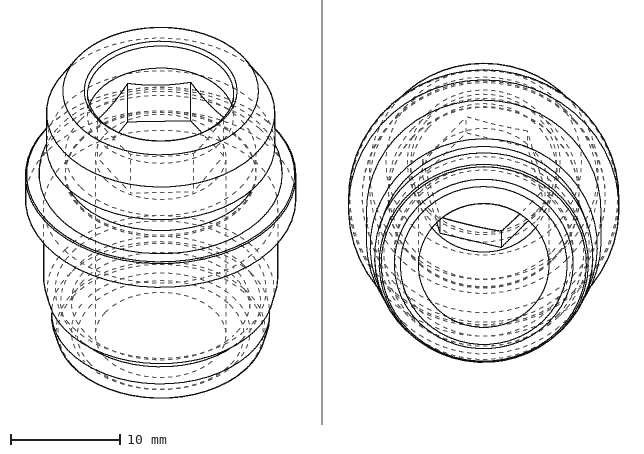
import cadquery as cq
import math

height = 29.5
head_cone_base = 26.9
head_bottom = 22.95
neck_top = 21.95
flange_top = 19.4
flange_bottom = 16.43
body_top = 15.52
body_bottom = 7.02
taper_bottom = 5.5
groove_top = 4.05
lip_top = 2.68
lip_band_bottom = 2.18
lip_bottom = 0.45

top_radius = 8.97
head_radius = 20.95 / 2
neck_radius = 17.5 / 2
flange_radius = 24.8 / 2
body_radius = 21.5 / 2
taper_end_radius = 10.4
tail_top_radius = 9.68
tail_bottom_radius = 9.17
groove_radius = 16.4 / 2
lip_radius = 20.0 / 2
lip_end_radius = 9.6
foot_top_radius = groove_radius
foot_radius = 7.65

flange_edge = 0.12
groove_fillet = 0.5
lip_edge = 0.18

ring_outer_radius = 11.15
ring_top = 20.8
ring_section_radius = (ring_outer_radius - neck_radius) / 2
ring_center_radius = neck_radius + ring_section_radius
ring_center_height = ring_top - ring_section_radius

mouth_radius = 14.0 / 2
counterbore_radius = 13.4 / 2
mouth_chamfer = mouth_radius - counterbore_radius
counterbore_floor = 26.52
floor_slope = 20.0
hex_across_flats = 10.0
hex_corner_diameter = hex_across_flats / math.cos(math.radians(30))
hex_bottom = 21.54
bore_radius = 6.0


def revolve_profile(profile):
    """Turn a closed radius-height outline around the Z axis."""
    return profile.close().revolve(360, (0, 0, 0), (0, 1, 0))


def make_body():
    fillet_shift = groove_fillet * (1 - math.sqrt(0.5))
    outline = (
        cq.Workplane("XZ")
        .lineTo(foot_radius, 0)
        .lineTo(foot_top_radius, lip_bottom)
        .lineTo(lip_end_radius - lip_edge, lip_bottom)
        .lineTo(lip_end_radius, lip_bottom + lip_edge)
        .lineTo(lip_radius, lip_band_bottom)
        .lineTo(lip_radius, lip_top)
        .lineTo(groove_radius + groove_fillet, lip_top)
        .threePointArc(
            (groove_radius + fillet_shift, lip_top + fillet_shift),
            (groove_radius, lip_top + groove_fillet),
        )
        .lineTo(groove_radius, groove_top)
        .lineTo(tail_bottom_radius, groove_top)
        .lineTo(tail_top_radius, taper_bottom)
        .lineTo(taper_end_radius, taper_bottom)
        .lineTo(body_radius, body_bottom)
        .lineTo(body_radius, body_top)
        .lineTo(flange_radius, flange_bottom)
        .lineTo(flange_radius, flange_top - flange_edge)
        .lineTo(flange_radius - flange_edge, flange_top)
        .lineTo(neck_radius, flange_top)
        .lineTo(neck_radius, neck_top)
        .lineTo(head_radius, head_bottom)
        .lineTo(head_radius, head_cone_base)
        .lineTo(top_radius, height)
        .lineTo(0, height)
    )
    return revolve_profile(outline)


def make_ring():
    section = cq.Workplane("XZ").center(ring_center_radius, ring_center_height).circle(ring_section_radius)
    return section.revolve(360, (-ring_center_radius, 0, 0), (-ring_center_radius, 1, 0))


def make_counterbore():
    cone_depth = counterbore_radius * math.tan(math.radians(floor_slope))
    outline = (
        cq.Workplane("XZ")
        .moveTo(0, counterbore_floor - cone_depth)
        .lineTo(counterbore_radius, counterbore_floor)
        .lineTo(counterbore_radius, height - mouth_chamfer)
        .lineTo(mouth_radius, height)
        .lineTo(0, height)
    )
    return revolve_profile(outline)


def make_hex_socket():
    hexagon = cq.Workplane("XY").workplane(offset=hex_bottom)
    hexagon = hexagon.transformed(rotate=(0, 0, 90)).polygon(6, hex_corner_diameter)
    return hexagon.extrude(counterbore_floor - hex_bottom)


def make_bottom_bore():
    return cq.Workplane("XY").circle(bore_radius).extrude(hex_bottom)


result = (
    make_body()
    .union(make_ring())
    .cut(make_counterbore())
    .cut(make_hex_socket())
    .cut(make_bottom_bore())
)